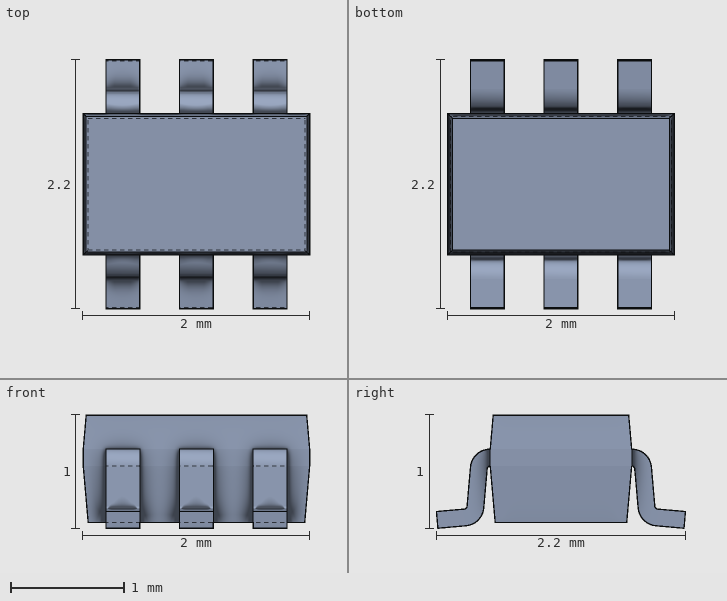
import cadquery as cq
import math

body_length = 2.0
body_width = 1.25
body_bottom = 0.05
body_top = 1.0
band_top = 0.70
draft_angle = 5.0

lead_count = 3
lead_pitch = 0.65
lead_width = 0.30
lead_thickness = 0.15
lead_span = 2.2
inner_bend_radius = 0.025
leg_lean = 5.0
foot_slope = 5.0

band_bottom = band_top - lead_thickness
outer_bend_radius = inner_bend_radius + lead_thickness


def make_body():
    band = (
        cq.Workplane("XY", origin=(0, 0, band_bottom))
        .rect(body_length, body_width)
        .extrude(lead_thickness)
    )
    upper = (
        cq.Workplane("XY", origin=(0, 0, band_top))
        .rect(body_length, body_width)
        .extrude(body_top - band_top, taper=draft_angle)
    )
    lower = (
        cq.Workplane("XY", origin=(0, 0, band_bottom))
        .rect(body_length, body_width)
        .extrude(body_bottom - band_bottom, taper=draft_angle)
    )
    return band.union(upper).union(lower)


def along(point, direction, distance):
    return (point[0] + distance * direction[0], point[1] + distance * direction[1])


def distance_along(start, end, direction):
    return (end[0] - start[0]) * direction[0] + (end[1] - start[1]) * direction[1]


def upward_normal(angle):
    """Unit normal, on the upper side, of a line that falls by angle while running outward."""
    return (math.sin(angle), math.cos(angle))


def make_lead():
    """One lead on the +Y side, centred on X = 0; profile points are (Y, Z)."""
    leg_angle = math.radians(90 - leg_lean)
    foot_angle = math.radians(foot_slope)
    leg_direction = (math.cos(leg_angle), -math.sin(leg_angle))
    leg_normal = upward_normal(leg_angle)
    foot_normal = upward_normal(foot_angle)
    shoulder_mid_normal = upward_normal(leg_angle / 2)
    heel_mid_normal = upward_normal((leg_angle + foot_angle) / 2)

    shoulder_center = (body_width / 2, band_bottom - inner_bend_radius)
    tip_upper = (lead_span / 2, lead_thickness * math.cos(foot_angle))
    tip_lower = along(tip_upper, foot_normal, -lead_thickness)

    leg_top = along(shoulder_center, leg_normal, outer_bend_radius)
    heel_center_for_no_leg = along(leg_top, leg_normal, inner_bend_radius)
    foot_start_for_no_leg = along(heel_center_for_no_leg, foot_normal, -inner_bend_radius)
    foot_offset = distance_along(tip_upper, foot_start_for_no_leg, foot_normal)
    leg_length = foot_offset / math.sin(leg_angle - foot_angle)
    heel_center = along(heel_center_for_no_leg, leg_direction, leg_length)

    profile = (
        cq.Workplane("YZ", origin=(-lead_width / 2, 0, 0))
        .moveTo(body_width / 2, band_top)
        .threePointArc(along(shoulder_center, shoulder_mid_normal, outer_bend_radius), leg_top)
        .lineTo(*along(leg_top, leg_direction, leg_length))
        .threePointArc(
            along(heel_center, heel_mid_normal, -inner_bend_radius),
            along(heel_center, foot_normal, -inner_bend_radius),
        )
        .lineTo(*tip_upper)
        .lineTo(*tip_lower)
        .lineTo(*along(heel_center, foot_normal, -outer_bend_radius))
        .threePointArc(
            along(heel_center, heel_mid_normal, -outer_bend_radius),
            along(heel_center, leg_normal, -outer_bend_radius),
        )
        .lineTo(*along(shoulder_center, leg_normal, inner_bend_radius))
        .threePointArc(
            along(shoulder_center, shoulder_mid_normal, inner_bend_radius),
            (body_width / 2, band_bottom),
        )
        .close()
    )
    return profile.extrude(lead_width)


result = make_body()
lead = make_lead()
opposite_lead = lead.mirror("XZ")
for index in range(lead_count):
    lead_x = (index - (lead_count - 1) / 2) * lead_pitch
    result = result.union(lead.translate((lead_x, 0, 0)))
    result = result.union(opposite_lead.translate((lead_x, 0, 0)))